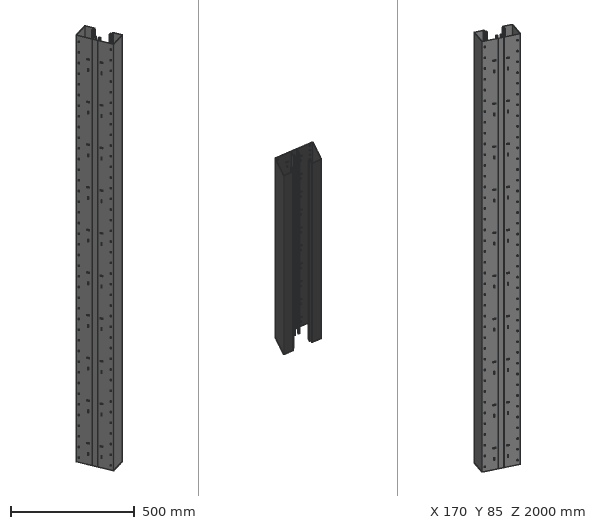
import cadquery as cq

WIDTH = 170.0
DEPTH = 85.0
LENGTH = 2000.0
WALL = 2.5
CORNER_RADIUS = 2.0

OPENING = 80.0
HOOK_OVERHANG = 6.0
HOOK_STEP = 9.0
HOOK_DEPTH = 20.0
HOOK_WEB = 5.0
HOOK_WIDTH = 11.0
HOOK_LEG = 2.2

RAIL_WIDTH = 28.0
RAIL_HEIGHT = 28.0
RAIL_SLOT = 12.0
RAIL_LIP = 8.0

EDGE_HOLE_DIAMETER = 6.5
EDGE_HOLE_X = 71.5
EDGE_HOLE_PITCH = 50.0
EDGE_HOLE_START = 22.0
SLOT_X = 30.0
SLOT_WIDTH = 5.0
SLOT_LENGTH = 13.0
SLOT_PITCH = 200.0
CROSS_SLOT_START = 100.0
LONG_SLOT_START = 50.0

BACK = -DEPTH / 2
FRONT = DEPTH / 2


def bar(x_min, x_max, y_min, y_max):
    """Full-length bar with a rectangular section."""
    return (
        cq.Workplane("XY")
        .rect(x_max - x_min, y_max - y_min)
        .extrude(LENGTH)
        .translate(((x_min + x_max) / 2, (y_min + y_max) / 2, 0))
    )


def channel():
    """Walls of the trunking, open along the middle of the +Y side."""
    outside = bar(-WIDTH / 2, WIDTH / 2, BACK, FRONT).edges("|Z").fillet(CORNER_RADIUS)
    inside = bar(-WIDTH / 2 + WALL, WIDTH / 2 - WALL, BACK + WALL, FRONT - WALL)
    opening = bar(-OPENING / 2, OPENING / 2, FRONT - WALL, FRONT)
    return outside.cut(inside).cut(opening)


def hook():
    """Cover hook along the -X edge of the opening."""
    inner = -OPENING / 2 + HOOK_OVERHANG
    outer = inner - HOOK_WIDTH
    tip = FRONT - HOOK_DEPTH
    web_top = FRONT - HOOK_STEP
    web_bottom = web_top - HOOK_WEB
    outer_leg = bar(outer, outer + HOOK_LEG, tip, FRONT - WALL)
    web = bar(outer, inner, web_bottom, web_top)
    inner_leg = bar(inner - HOOK_LEG, inner, tip, web_top)
    return outer_leg.union(web).union(inner_leg)


def rail():
    """C-shaped rail on the back wall, its lips turned back toward the wall."""
    half = RAIL_WIDTH / 2
    half_slot = RAIL_SLOT / 2
    top = BACK + RAIL_HEIGHT
    lip_tip = top - RAIL_LIP
    body = bar(-half, half, BACK + WALL, top)
    hollow = bar(-half + WALL, half - WALL, BACK + WALL, top - WALL)
    slot = bar(-half_slot, half_slot, lip_tip, top)
    lips = bar(-half_slot - WALL, half_slot + WALL, lip_tip, top)
    return body.cut(hollow).union(lips).cut(slot)


def back_positions(x, start, pitch):
    """Mirrored pairs of places along the back wall, as (x, z)."""
    count = int((LENGTH - start) // pitch) + 1
    heights = [start + pitch * i for i in range(count)]
    return [(side * x, z) for z in heights for side in (-1, 1)]


def back_plane(places):
    """Workplane on the outer back face, looking inward, at the given places."""
    return cq.Workplane("XZ", origin=(0, BACK, 0)).pushPoints(places)


def perforation():
    """Cutters for every hole and slot of the back wall."""
    holes = back_plane(back_positions(EDGE_HOLE_X, EDGE_HOLE_START, EDGE_HOLE_PITCH))
    cross_slots = back_plane(back_positions(SLOT_X, CROSS_SLOT_START, SLOT_PITCH))
    long_slots = back_plane(back_positions(SLOT_X, LONG_SLOT_START, SLOT_PITCH))
    return (
        holes.circle(EDGE_HOLE_DIAMETER / 2).extrude(-WALL),
        cross_slots.slot2D(SLOT_LENGTH, SLOT_WIDTH).extrude(-WALL),
        long_slots.slot2D(SLOT_LENGTH, SLOT_WIDTH, 90).extrude(-WALL),
    )


body = channel().union(rail()).union(hook()).union(hook().mirror("YZ"))
for cutter in perforation():
    body = body.cut(cutter)
result = body